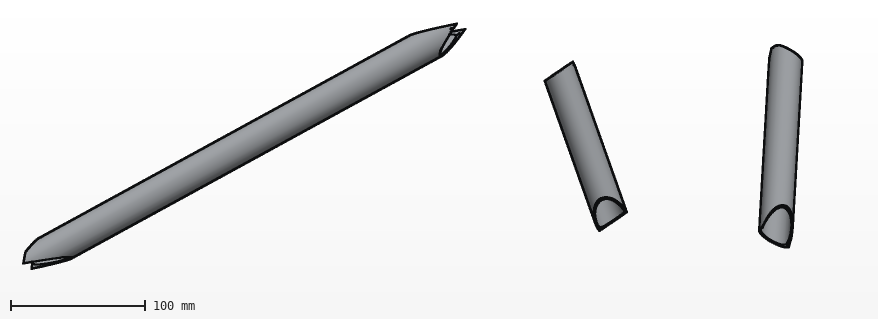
import cadquery as cq

tube_diameter = 25.0
wall = 1.2
run_x = 301.0
run_y = 115.0
run_z = 182.7
lower_setback = 7.0

outer_radius = tube_diameter / 2
inner_radius = outer_radius - wall
overrun = 3 * tube_diameter
cutter_half_length = 6 * tube_diameter

upper_joint = cq.Vector(run_x / 2, run_y / 2, run_z / 2)
tube_axis = upper_joint.normalized()
lower_joint = upper_joint * -1 - tube_axis * lower_setback
tube_length = (upper_joint - lower_joint).Length + 2 * overrun
rail_axis = cq.Vector(1, 0, 0)
post_axis = cq.Vector(0, run_y, run_z).normalized()


def round_bar(radius, length, start, axis):
    return cq.Solid.makeCylinder(radius, length, start, axis)


def cross_tube(joint, axis):
    """Solid bar centred on a joint, with the shape of a tube that meets the brace there."""
    start = joint - axis * cutter_half_length
    return round_bar(outer_radius, 2 * cutter_half_length, start, axis)


tube_start = lower_joint - tube_axis * overrun
outer = round_bar(outer_radius, tube_length, tube_start, tube_axis)
bore = round_bar(inner_radius, tube_length, tube_start, tube_axis)
tube = cq.Workplane(obj=outer.cut(bore))

coped = tube
for joint in (lower_joint, upper_joint):
    for axis in (rail_axis, post_axis):
        coped = coped.cut(cq.Workplane(obj=cross_tube(joint, axis)))

trim_size = 4 * run_x
kept_side = cq.Workplane("YZ", origin=(-run_x / 2, 0, 0)).rect(trim_size, trim_size).extrude(trim_size)
coped = coped.intersect(kept_side)
brace = min(coped.solids().vals(), key=lambda piece: piece.Center().Length)
result = cq.Workplane(obj=brace)